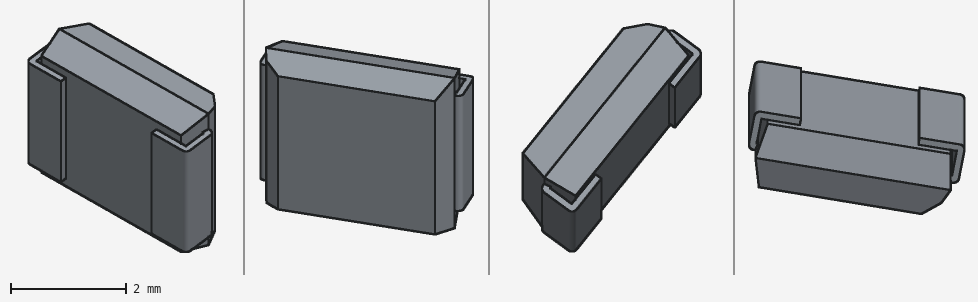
import cadquery as cq

total_length = 3.7
body_width = 3.0
half_height = 0.6

strip_thickness = 0.13
strip_width = 2.3
foot_length = 0.805
bend_radius = 0.1

side_inset = 0.17
front_end_inset = 0.11
back_end_inset = 0.165

bevel_size = 0.3
bevel_end_inset = 0.11

body_length = total_length - 2 * strip_thickness
half_length = body_length / 2
half_width = body_width / 2


def tapered_half(end_outline, outer_y):
    """Body half from an XY outline, with both Z sides tapering toward outer_y."""
    block = (
        cq.Workplane("XY", origin=(0, 0, -half_width))
        .polyline(end_outline)
        .close()
        .extrude(body_width)
    )
    side_outline = [
        (0, -half_width),
        (0, half_width),
        (outer_y, half_width - side_inset),
        (outer_y, -half_width + side_inset),
    ]
    side_wedge = (
        cq.Workplane("YZ", origin=(-half_length, 0, 0))
        .polyline(side_outline)
        .close()
        .extrude(body_length)
    )
    return block.intersect(side_wedge)


def make_front_half():
    """Half next to the terminal feet, on the -Y side of the parting plane."""
    outline = [
        (-half_length, 0),
        (half_length, 0),
        (half_length - front_end_inset, -half_height),
        (-half_length + front_end_inset, -half_height),
    ]
    return tapered_half(outline, -half_height)


def make_back_half():
    """Half on the +Y side of the parting plane, with the bevel at its right end."""
    bevel_corner_x = half_length - bevel_end_inset
    outline = [
        (-half_length, 0),
        (half_length, 0),
        (bevel_corner_x, half_height - bevel_size),
        (bevel_corner_x - bevel_size, half_height),
        (-half_length + back_end_inset, half_height),
    ]
    return tapered_half(outline, half_height)


def make_terminal(side, front_half):
    """Bent strip at one end: side is -1 for left, 1 for right."""
    outer_x = side * total_length / 2
    inner_x = side * half_length
    wall_foot_x = side * (half_length - front_end_inset)
    foot_tip_x = side * (total_length / 2 - foot_length)
    outer_y = -half_height - strip_thickness

    outline = [
        (outer_x, 0),
        (outer_x, outer_y),
        (foot_tip_x, outer_y),
        (foot_tip_x, -half_height),
        (inner_x, -half_height),
        (inner_x, -strip_thickness),
        (wall_foot_x, -strip_thickness),
        (wall_foot_x, 0),
    ]
    strip = (
        cq.Workplane("XY", origin=(0, 0, -strip_width / 2))
        .polyline(outline)
        .close()
        .extrude(strip_width)
    )
    outer_face = "<X" if side < 0 else ">X"
    bent_strip = strip.faces(outer_face).edges("|Z").fillet(bend_radius)
    return bent_strip.cut(front_half)


front_half = make_front_half()
back_half = make_back_half()
terminals = [make_terminal(side, front_half) for side in (-1, 1)]

result = cq.Compound.makeCompound(
    [front_half.val(), back_half.val()] + [solid for terminal in terminals for solid in terminal.vals()]
)